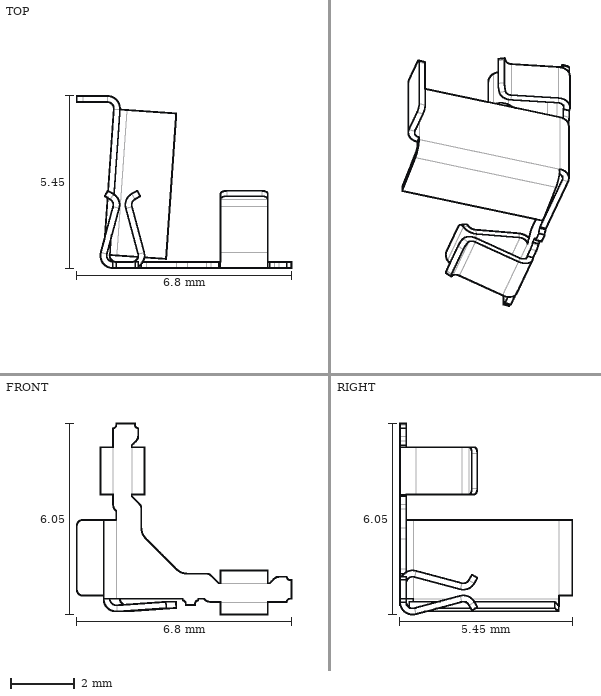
import cadquery as cq
import math


SHEET = 0.2
BEND_INNER = 0.2
BEND_OUTER = BEND_INNER + SHEET
BEND_MIDDLE = BEND_INNER + SHEET / 2

ARM_REACH = 5.55
ARM_OUTSET = 0.1
ARM_INNER = 0.5
HEAD_INNER = 0.7
HEAD_START = 4.86
HEAD_RADIUS = 0.2
NOTCH_LENGTH = 0.15
NOTCH_DEPTH = 0.1
ROOT_INNER = 0.8
ROOT_END = 2.94
ROOT_RADIUS = 0.2
GUSSET_START = 2.05
GUSSET_RADIUS = 0.5
STEP_START = 2.78
STEP_RADIUS = 0.25
TAB_LEFT = 2.2
TAB_RIGHT = 2.5
TAB_DROP = 0.2
TAB_SHOULDER = 0.1
TAB_SHOULDER_DROP = 0.05

CLIP_START = 3.3
CLIP_END = 4.8
FINGER_LEAN = 15.0
FINGER_LENGTH = 1.5
TIP_FLARE = 60.0
TIP_LENGTH = 0.2
TIP_CORNER = 0.2

DEPTH = 5.45
WALL_HEIGHT = 2.5
WALL_LEAN = 4.0
WALL_TURN = 90 + WALL_LEAN
WALL_LENGTH = (
    DEPTH - 2 * BEND_OUTER - (BEND_OUTER + BEND_INNER) * math.sin(math.radians(WALL_LEAN))
) / math.cos(math.radians(WALL_LEAN))
FLANGE_END_X = -1.25
FLANGE_BOTTOM = 0.1
FLANGE_CORNER = 0.2
WING_RISE = 4.0
WING_WIDTH = 1.99


def step(point, angle, distance):
    """Point reached from `point` by moving `distance` in direction `angle` (degrees)."""
    turn = math.radians(angle)
    return (point[0] + distance * math.cos(turn), point[1] + distance * math.sin(turn))


def join(first, *others):
    """Fuse bodies, keeping the bend lines as edges."""
    for body in others:
        first = first.union(body, clean=False)
    return first


def straight(plane, start, heading, length, width):
    """Flat strip of sheet along its mid-line; returns the solid and its end point."""
    end = step(start, heading, length)
    half = SHEET / 2
    corners = [
        step(start, heading + 90, half),
        step(end, heading + 90, half),
        step(end, heading - 90, half),
        step(start, heading - 90, half),
    ]
    return cq.Workplane(plane).polyline(corners).close().extrude(width), end


def bend(plane, start, heading, turn, width):
    """Bent strip of sheet, turning left for a positive angle; returns the solid and its end point."""
    side = math.copysign(90, turn)
    centre = step(start, heading + side, BEND_MIDDLE)

    def on_bend(radius, share):
        return step(centre, heading - side + share * turn, radius)

    solid = (
        cq.Workplane(plane)
        .moveTo(*on_bend(BEND_INNER, 0))
        .threePointArc(on_bend(BEND_INNER, 0.5), on_bend(BEND_INNER, 1))
        .lineTo(*on_bend(BEND_OUTER, 1))
        .threePointArc(on_bend(BEND_OUTER, 0.5), on_bend(BEND_OUTER, 0))
        .close()
        .extrude(width)
    )
    return solid, on_bend(BEND_MIDDLE, 1)


def rounded_end(start, heading, length, bottom, width, corner):
    """Flat strip standing along Z whose two free corners are rounded."""
    along = step((0, 0), heading, 1)
    across = step((0, 0), heading - 90, 1)
    plane = cq.Plane(origin=(*start, bottom + width / 2), xDir=(*along, 0), normal=(*across, 0))
    rounded = cq.Sketch().rect(2 * length, width).vertices().fillet(corner)
    free_half = cq.Workplane(plane).center(length / 2, 0).rect(length, width).extrude(SHEET / 2, both=True)
    return cq.Workplane(plane).placeSketch(rounded).extrude(SHEET / 2, both=True).intersect(free_half)


def arm_blank():
    """Lower arm from the corner to its end, without the carrier tab."""
    head_rise = HEAD_INNER - ARM_INNER
    root_drop = ROOT_INNER - ARM_INNER
    gusset_reach = GUSSET_START + ROOT_INNER
    notch_x = ARM_REACH - NOTCH_LENGTH
    outer_notch_z = NOTCH_DEPTH - ARM_OUTSET
    inner_notch_z = HEAD_INNER - NOTCH_DEPTH
    blank = (
        cq.Workplane("XZ")
        .lineTo(STEP_START, 0)
        .lineTo(STEP_START + ARM_OUTSET, -ARM_OUTSET)
        .lineTo(notch_x, -ARM_OUTSET)
        .radiusArc((notch_x + NOTCH_DEPTH, outer_notch_z), NOTCH_DEPTH)
        .lineTo(ARM_REACH, outer_notch_z)
        .lineTo(ARM_REACH, inner_notch_z)
        .lineTo(notch_x + NOTCH_DEPTH, inner_notch_z)
        .radiusArc((notch_x, HEAD_INNER), NOTCH_DEPTH)
        .lineTo(HEAD_START + head_rise, HEAD_INNER)
        .lineTo(HEAD_START, ARM_INNER)
        .lineTo(ROOT_END + root_drop, ARM_INNER)
        .lineTo(ROOT_END, ROOT_INNER)
        .lineTo(GUSSET_START, ROOT_INNER)
        .lineTo(gusset_reach / 2, gusset_reach / 2)
        .close()
        .extrude(-SHEET)
    )

    def round_edge(body, x, z, radius):
        return body.edges(cq.selectors.NearestToPointSelector((x, SHEET / 2, z))).fillet(radius)

    blank = round_edge(blank, STEP_START + ARM_OUTSET, -ARM_OUTSET, STEP_RADIUS)
    blank = round_edge(blank, HEAD_START + head_rise, HEAD_INNER, HEAD_RADIUS)
    blank = round_edge(blank, ROOT_END, ROOT_INNER, ROOT_RADIUS)
    blank = round_edge(blank, GUSSET_START, ROOT_INNER, GUSSET_RADIUS)
    return blank


def swap_x_and_z(body):
    """Mirror image of a body about the plane x = z."""
    return body.mirror("XY").rotate((0, 0, 0), (0, 1, 0), -90)


def tab_stub():
    """Carrier tab with a shoulder on either side that curves into the tab edge."""
    neck_z = -TAB_SHOULDER_DROP - TAB_SHOULDER
    return (
        cq.Workplane("XZ")
        .moveTo(TAB_LEFT - TAB_SHOULDER, 0)
        .lineTo(TAB_LEFT - TAB_SHOULDER, -TAB_SHOULDER_DROP)
        .radiusArc((TAB_LEFT, neck_z), TAB_SHOULDER)
        .lineTo(TAB_LEFT, -TAB_DROP)
        .lineTo(TAB_RIGHT, -TAB_DROP)
        .lineTo(TAB_RIGHT, neck_z)
        .radiusArc((TAB_RIGHT + TAB_SHOULDER, -TAB_SHOULDER_DROP), TAB_SHOULDER)
        .lineTo(TAB_RIGHT + TAB_SHOULDER, 0)
        .close()
        .extrude(-SHEET)
    )


def base_plate():
    """L-shaped plate: the lower arm, its mirrored twin and the carrier tab stub."""
    arm = arm_blank()
    return arm.union(swap_x_and_z(arm)).union(tab_stub())


def finger():
    """Outer finger of the upright arm's clip, bent back from the plate's outer edge."""
    width = CLIP_END - CLIP_START
    plane = cq.Plane.XY(origin=(0, 0, CLIP_START))
    lean_heading = 90 - FINGER_LEAN
    tip_heading = 90 + TIP_FLARE
    root, point = bend(plane, (-ARM_OUTSET, SHEET / 2), 180, lean_heading - 180, width)
    blade, point = straight(plane, point, lean_heading, FINGER_LENGTH, width)
    flare, point = bend(plane, point, lean_heading, tip_heading - lean_heading, width)
    tip = rounded_end(point, tip_heading, TIP_LENGTH, CLIP_START, width, TIP_CORNER)
    return join(root, blade, flare, tip)


def clip():
    """Two mirrored fingers embracing the upright arm."""
    outer = finger()
    arm_centre = (ARM_INNER - ARM_OUTSET) / 2
    return join(outer, outer.mirror("YZ", (arm_centre, 0, 0)))


def side_wall():
    """Leaning wall with its end flange and the wing folded in under it."""
    heading = 180 - WALL_TURN
    lean = math.radians(WALL_LEAN)
    floor = cq.Plane.XY()
    root, wall_start = bend(floor, (0, SHEET / 2), 180, -WALL_TURN, WALL_HEIGHT)
    wall, wall_end = straight(floor, wall_start, heading, WALL_LENGTH, WALL_HEIGHT)

    flange_height = WALL_HEIGHT - FLANGE_BOTTOM
    flange_plane = cq.Plane.XY(origin=(0, 0, FLANGE_BOTTOM))
    corner, flange_start = bend(flange_plane, wall_end, heading, WALL_TURN, flange_height)
    flange_length = flange_start[0] - FLANGE_END_X
    flange = rounded_end(flange_start, 180, flange_length, FLANGE_BOTTOM, flange_height, FLANGE_CORNER)

    wing_plane = cq.Plane(
        origin=(*wall_end, 0),
        xDir=(math.cos(lean), -math.sin(lean), 0),
        normal=(-math.sin(lean), -math.cos(lean), 0),
    )
    rise = math.radians(WING_RISE)
    fold, wing_start = bend(wing_plane, (0, 0), -90, 90 + WING_RISE, WALL_LENGTH)
    free_edge = WING_WIDTH - SHEET / 2
    wing_length = (free_edge - wing_start[0] - SHEET / 2 * math.sin(rise)) / math.cos(rise)
    wing, _ = straight(wing_plane, wing_start, WING_RISE, wing_length, WALL_LENGTH)
    return join(root, wall, corner, flange, fold, wing)


upright_clip = clip()
result = join(base_plate(), upright_clip, swap_x_and_z(upright_clip), side_wall()).solids()